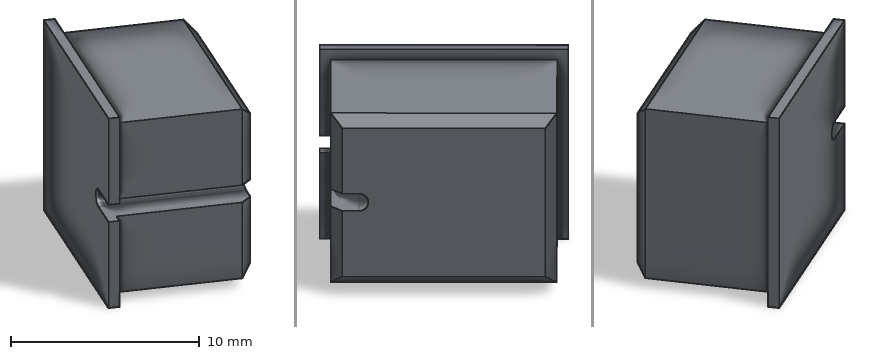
import cadquery as cq

flange_width = 13.15
flange_height = 11.0
flange_thickness = 0.6

total_depth = 8.1
flange_overhang = 0.59
body_width = flange_width - 2 * flange_overhang
body_height = flange_height - 2 * flange_overhang
body_depth = total_depth - flange_thickness
rear_chamfer = 0.6

slot_width = 1.0
slot_length = 2.58
slot_radius = slot_width / 2


def make_flange():
    return cq.Workplane("XY").box(
        flange_width, flange_thickness, flange_height, centered=(True, False, True)
    )


def make_body():
    body = cq.Workplane("XY").box(
        body_width, body_depth, body_height, centered=(True, False, True)
    )
    body = body.faces(">Y").chamfer(rear_chamfer)
    return body.translate((0, flange_thickness, 0))


def make_slot():
    """Slot cutter running through the full depth of the part."""
    open_end = flange_width / 2
    round_center = open_end - slot_length + slot_radius
    return (
        cq.Workplane("XZ")
        .moveTo(open_end, slot_radius)
        .lineTo(round_center, slot_radius)
        .threePointArc((round_center - slot_radius, 0), (round_center, -slot_radius))
        .lineTo(open_end, -slot_radius)
        .close()
        .extrude(-total_depth)
    )


result = make_flange().union(make_body()).cut(make_slot())